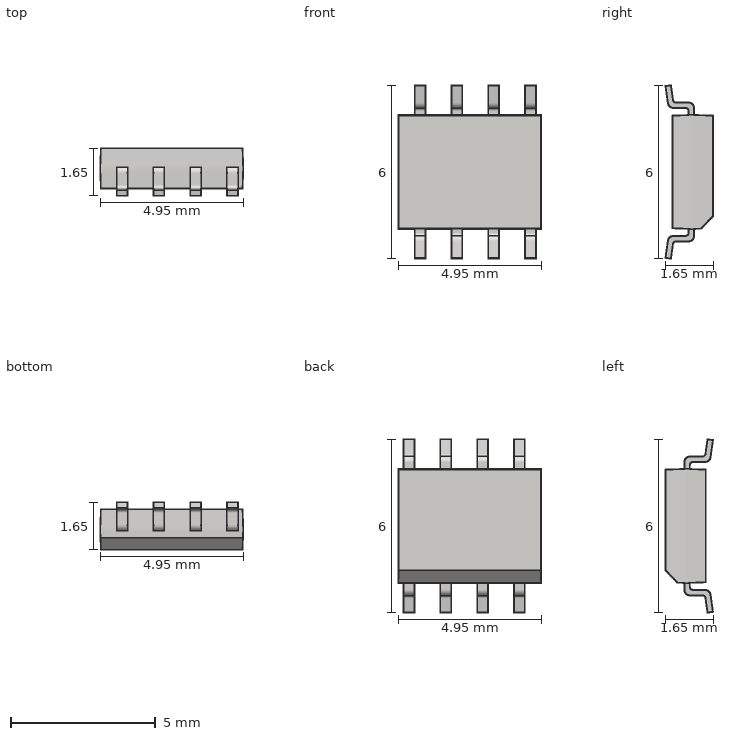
import cadquery as cq
import math

BODY_WIDTH = 4.95
BODY_HEIGHT = 3.95
FRONT_DEPTH = 0.65
BAND_DEPTH = 0.1
BACK_DEPTH = 0.655
DRAFT_ANGLE = 2.0
EDGE_CHAMFER = 0.42

LEAD_SPAN = 6.0
LEAD_WIDTH = 0.385
LEAD_THICKNESS = 0.2
LEAD_PITCH = 1.27
LEADS_PER_SIDE = 4
LEAD_SHIFT = LEAD_WIDTH / 2
ARM_REACH = 2.405
FOOT_ANGLE = 8.0
OUTER_BEND_DIAMETER = 0.4
INNER_BEND_RADIUS = 0.1
ROOT_EMBED = 0.12

TOTAL_DEPTH = 1.65
BAND_BACK = TOTAL_DEPTH - BACK_DEPTH
BAND_FRONT = BAND_BACK - BAND_DEPTH


def body_slab(start_y, depth, taper=0.0):
    """Body outline extruded from start_y; a positive depth runs towards -Y."""
    return (
        cq.Workplane("XZ", origin=(0, start_y, 0))
        .rect(BODY_WIDTH, BODY_HEIGHT)
        .extrude(depth, taper=taper)
    )


def make_body():
    body = body_slab(BAND_BACK, BAND_DEPTH)
    body = body.union(body_slab(BAND_FRONT, FRONT_DEPTH, DRAFT_ANGLE))
    body = body.union(body_slab(BAND_BACK, -BACK_DEPTH, DRAFT_ANGLE))
    return body.faces(">Y").edges("<Z").chamfer(EDGE_CHAMFER)


def make_lead(centre_x):
    """Lead on the upper side: root, arm towards -Y, then a sloping foot."""
    slope = math.radians(FOOT_ANGLE)
    root_z = BODY_HEIGHT / 2 - ROOT_EMBED
    arm_inner_z = ARM_REACH - LEAD_THICKNESS
    tip_z = LEAD_SPAN / 2
    toe_z = tip_z - LEAD_THICKNESS * math.sin(slope)
    tip_y = LEAD_THICKNESS * math.cos(slope)
    root_front = BAND_BACK - LEAD_THICKNESS

    shoulder_outer = (BAND_BACK, ARM_REACH)
    shoulder_inner = (root_front, arm_inner_z)
    heel_inner = (tip_y + (tip_z - ARM_REACH) * math.tan(slope), ARM_REACH)
    heel_outer = ((toe_z - arm_inner_z) * math.tan(slope), arm_inner_z)

    profile = [
        (BAND_BACK, root_z),
        shoulder_outer,
        heel_inner,
        (tip_y, tip_z),
        (0, toe_z),
        heel_outer,
        shoulder_inner,
        (root_front, root_z),
    ]
    lead = (
        cq.Workplane("YZ", origin=(centre_x - LEAD_WIDTH / 2, 0, 0))
        .polyline(profile)
        .close()
        .extrude(LEAD_WIDTH)
    )
    bends = [
        (shoulder_outer, OUTER_BEND_DIAMETER / 2),
        (heel_outer, OUTER_BEND_DIAMETER / 2),
        (shoulder_inner, INNER_BEND_RADIUS),
        (heel_inner, INNER_BEND_RADIUS),
    ]
    for (y, z), radius in bends:
        bend_edge = cq.selectors.NearestToPointSelector((centre_x, y, z))
        lead = lead.edges(bend_edge).fillet(radius)
    return lead


result = make_body()
for index in range(LEADS_PER_SIDE):
    lead_x = LEAD_SHIFT + (index - (LEADS_PER_SIDE - 1) / 2) * LEAD_PITCH
    upper_lead = make_lead(lead_x)
    result = result.union(upper_lead).union(upper_lead.mirror("XY"))